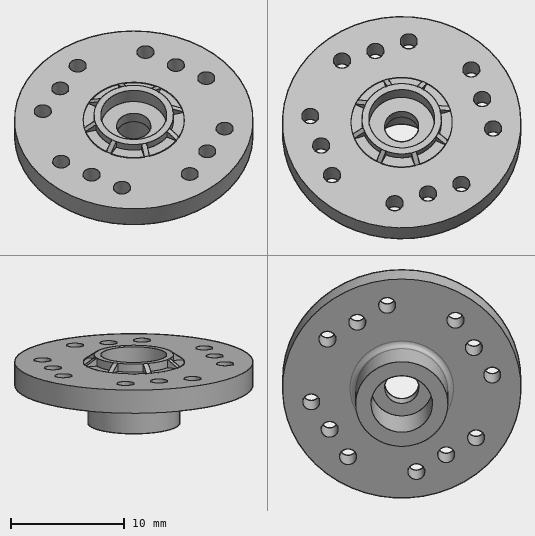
import cadquery as cq

flange_diameter = 21
flange_thickness = 2.1

collar_diameter = 7.0
collar_height = 0.65
recess_diameter = 8.9
recess_depth = 0.08

hub_diameter = 8.1
hub_length = 3.45
hub_fillet = 0.5

upper_bore_diameter = 5.8
upper_bore_depth = 1.47
through_hole_diameter = 3.0
web_thickness = 1.1
lower_bore_diameter = 5.4

rib_count = 8
rib_width = 0.46
rib_outer_radius = 4.45
rib_root_overlap = 0.2

hole_diameter = 1.5
hole_pitch = 3.09
row_offset = 7.45
row_count = 4

collar_top = flange_thickness + collar_height
recess_floor = flange_thickness - recess_depth
upper_bore_floor = collar_top - upper_bore_depth
web_bottom = upper_bore_floor - web_thickness


def cylinder(diameter, bottom, top):
    return cq.Workplane("XY").workplane(offset=bottom).circle(diameter / 2).extrude(top - bottom)


def make_hub():
    """Revolved hub profile, including the concave fillet into the flange."""
    radius = hub_diameter / 2
    return (
        cq.Workplane("XZ")
        .moveTo(0, -hub_length)
        .lineTo(radius, -hub_length)
        .lineTo(radius, -hub_fillet)
        .radiusArc((radius + hub_fillet, 0), hub_fillet)
        .lineTo(0, 0)
        .close()
        .revolve(360, (0, 0, 0), (0, 1, 0))
    )


def make_rib(angle):
    """Triangular rib falling from the collar rim to the flange face."""
    collar_radius = collar_diameter / 2
    root_radius = collar_radius - rib_root_overlap
    return (
        cq.Workplane("XZ")
        .moveTo(root_radius, recess_floor)
        .lineTo(rib_outer_radius, recess_floor)
        .lineTo(rib_outer_radius, flange_thickness)
        .lineTo(collar_radius, collar_top)
        .lineTo(root_radius, collar_top)
        .close()
        .extrude(rib_width / 2, both=True)
        .rotate((0, 0, 0), (0, 0, 1), angle)
    )


def make_hole_row(angle):
    return (
        cq.Workplane("XY")
        .pushPoints([(row_offset, step * hole_pitch) for step in (-1, 0, 1)])
        .circle(hole_diameter / 2)
        .extrude(flange_thickness)
        .rotate((0, 0, 0), (0, 0, 1), angle)
    )


result = cylinder(flange_diameter, 0, flange_thickness)
result = result.cut(cylinder(recess_diameter, recess_floor, flange_thickness))
result = result.union(make_hub())
result = result.union(cylinder(collar_diameter, recess_floor, collar_top))

for index in range(rib_count):
    result = result.union(make_rib(index * 360 / rib_count))

result = result.cut(cylinder(upper_bore_diameter, upper_bore_floor, collar_top))
result = result.cut(cylinder(through_hole_diameter, web_bottom, upper_bore_floor))
result = result.cut(cylinder(lower_bore_diameter, -hub_length, web_bottom))

for index in range(row_count):
    result = result.cut(make_hole_row(index * 360 / row_count))